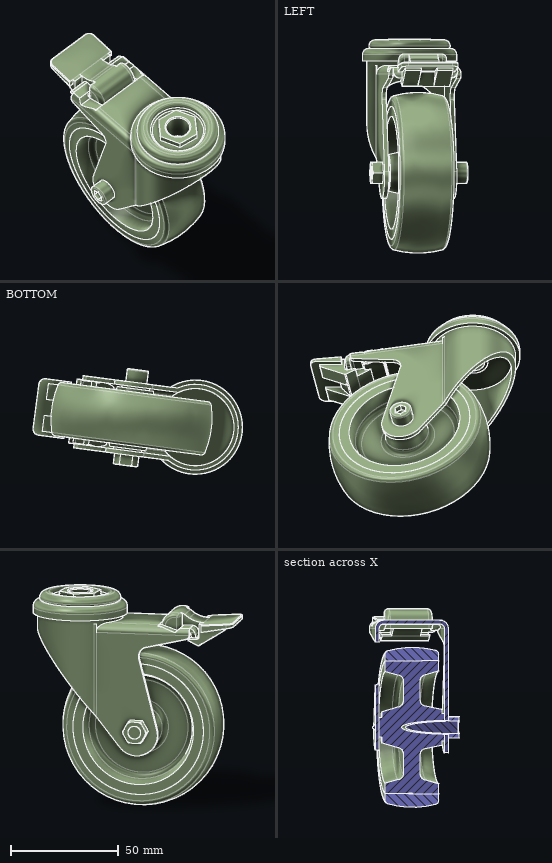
import cadquery as cq
import math

SWIVEL_ANGLE = 7.5
AXLE_OFFSET = 30.0

DIAGONAL = math.sqrt(0.5)

SHEET = 2.0
FORK_HALF_WIDTH = 17.0
FORK_INNER_HALF = FORK_HALF_WIDTH - SHEET
FORK_TOP = 50.0
FORK_EDGE_RADIUS = 4.0
NECK_RADIUS = 20.0
NECK_TOP = 52.0
NECK_FILLET = 2.0
REAR_EDGE_HEIGHT = 45.2
LEG_END_RADIUS = 10.0
LEG_END_DROP = 1.9
LEG_CORNER_HEIGHT = 38.6
LEG_CORNER_RADIUS = 4.5
FORK_TIP_X = -55.0
FORK_TIP_BOTTOM = 44.4
FORK_TIP_RADIUS = 2.0
AXLE_HOLE_DIAMETER = 6.4

DIP_START_X = -40.0
DIP_X = -48.3
DIP_HEIGHT = 47.2
LIP_START_X = -50.6
LIP_TOP = 49.1
LIP_FRONT_X = -57.6
LIP_RADIUS = 3.1
LIP_BOTTOM = 44.2
LIP_HALF_WIDTH = 15.1
LIP_CORNER_RADIUS = 3.0
ARM_SLOT_HALF = 6.75

SKIRT_RADIUS = 22.0
SKIRT_TOP = 58.0
SKIRT_FILLET = 3.0
BEAD_RADIUS = 19.0
BEAD_TOP = 62.0
BEAD_FOOT_FILLET = 1.0
BEAD_TOP_FILLET = BEAD_TOP - SKIRT_TOP - BEAD_FOOT_FILLET
WELL_RADIUS = 12.75
WELL_FLOOR_RADIUS = 11.95
WELL_RIM_FILLET = 1.75
WELL_FLOOR = 59.4
BUSH_TOP = 62.4
BUSH_FLATS = 17.0
BUSH_SHANK_DIAMETER = 14.0
BUSH_BORE_DIAMETER = 11.0
BUSH_BORE_CHAMFER = 0.5

WHEEL_RADIUS = 37.5
WHEEL_HALF_WIDTH = 12.5
TREAD_EDGE_RADIUS = 36.0
TREAD_EDGE_HALF = 11.2
TYRE_FACE_RADIUS = 34.0
TYRE_SHOULDER_RADIUS = 35.3
TYRE_SHOULDER_HALF = 12.15
RIM_RADIUS = 31.0
RECESS_MOUTH_RADIUS = 26.3
RECESS_WALL_RADIUS = 24.5
RECESS_FILLET = 2.5
WEB_HALF = 4.0
HUB_FOOT_RADIUS = 12.7
HUB_FILLET = 2.5
HUB_END_RADIUS = 8.5
HUB_HALF = 14.0
HUB_FACE_RADIUS = 6.5

BOLT_DIAMETER = 6.0
BOLT_HEAD_DIAMETER = 10.0
BOLT_HEAD_HEIGHT = 6.0
BOLT_HEAD_FILLET = 0.6
SOCKET_FLATS = 5.0
SOCKET_DEPTH = 3.0
NUT_FLATS = 10.0
NUT_HEIGHT = 5.0
NUT_CHAMFER = 0.5

PAD_TIP_X = -74.95
PAD_BACK_X = -60.0
PAD_TIP_TOP = 51.6
PAD_BACK_TOP = 50.5
PAD_TIP_THICKNESS = 1.9
PAD_BACK_BOTTOM = 47.0
PAD_HALF_WIDTH = 13.3
PAD_CORNER_RADIUS = 3.0
PAD_EDGE_CHAMFER = 0.4
GUSSET_HALF_WIDTH = 11.2
GUSSET_GAP_HALF = 3.75
GUSSET_GAP_TOP_X = -63.0
GUSSET_TIP_X = -70.5
GUSSET_TIP_BOTTOM = 47.75
GUSSET_BOTTOM = 40.3
GUSSET_FLAT_FRONT_X = -58.6
GUSSET_FLAT_BACK_X = -58.0
GUSSET_HEEL_X = -53.5
GUSSET_HEEL_HEIGHT = 42.5
LIP_SLOT_FRONT_X = -58.6
LIP_SLOT_BOTTOM = 43.2
LIP_SLOT_RADIUS = 1.5
ARM_MIDDLE = (-56.2, 51.1)
ARM_KNEE = (-53.2, 52.4)
CAM_CENTRE = (-47.1, 48.7)
CAM_RADIUS = 6.6
CAM_FRONT_X = -49.9
CAM_BOTTOM = 46.0
CAM_HALF_WIDTH = 11.0
CAM_SIDE_FILLET = 2.0
CAM_FRONT_FILLET = 1.0


def hexagon_circumdiameter(flats):
    return flats / math.cos(math.pi / 6)


def tangent_point(centre, radius, outside, side):
    """Point where a line from an outside point touches a circle; side is +1 or -1."""
    dx = outside[0] - centre[0]
    dz = outside[1] - centre[1]
    angle = math.atan2(dz, dx) + side * math.acos(radius / math.hypot(dx, dz))
    return (centre[0] + radius * math.cos(angle), centre[1] + radius * math.sin(angle))


def symmetric_plate(outline, half_width):
    """Extrude an XZ outline to both sides of the fork's mid plane."""
    return outline.close().extrude(half_width, both=True)


def box(x_range, half_width, z_range):
    outline = cq.Workplane("XZ").moveTo(x_range[0], z_range[0]).lineTo(x_range[1], z_range[0])
    outline = outline.lineTo(x_range[1], z_range[1]).lineTo(x_range[0], z_range[1])
    return symmetric_plate(outline, half_width)


def axle_plane(y):
    """Plane across the axle at a given Y, facing +Y."""
    return cq.Plane(origin=(-AXLE_OFFSET, y, 0), xDir=(1, 0, 0), normal=(0, 1, 0))


def fork_envelope(half_width, top, edge_radius, neck_radius, neck_top):
    """Rounded channel joined to the round neck, reaching well below the legs."""
    floor = -2 * LEG_END_RADIUS
    channel = box((2 * FORK_TIP_X, 0), half_width, (floor, top))
    channel = channel.edges("|X and >Z").fillet(edge_radius)
    neck = cq.Workplane("XY").workplane(offset=floor).circle(neck_radius).extrude(neck_top - floor)
    return channel.union(neck)


def neck_fillet(side):
    """Upright fillet where a flat side of the fork meets the round neck; side is +1 or -1."""
    height = FORK_TOP + 2 * LEG_END_RADIUS
    centre_y = FORK_HALF_WIDTH + NECK_FILLET
    reach = NECK_RADIUS + NECK_FILLET
    centre_x = -math.sqrt(reach**2 - centre_y**2)
    on_neck = (centre_x * NECK_RADIUS / reach, centre_y * NECK_RADIUS / reach)
    middle_angle = (math.atan2(-centre_y, -centre_x) - math.pi / 2) / 2
    middle = (
        centre_x + NECK_FILLET * math.cos(middle_angle),
        centre_y + NECK_FILLET * math.sin(middle_angle),
    )
    return (
        cq.Workplane("XY")
        .workplane(offset=FORK_TOP - height)
        .moveTo(centre_x, side * FORK_HALF_WIDTH)
        .threePointArc((middle[0], side * middle[1]), (on_neck[0], side * on_neck[1]))
        .lineTo(on_neck[0], side * (FORK_HALF_WIDTH - NECK_FILLET))
        .lineTo(centre_x, side * (FORK_HALF_WIDTH - NECK_FILLET))
        .close()
        .extrude(height)
    )


def fork_side_profile():
    """Side outline of the fork, with the dip in the top edge."""
    leg_end = (-AXLE_OFFSET, -LEG_END_DROP)
    rear = (NECK_RADIUS, REAR_EDGE_HEIGHT)
    corner = (-AXLE_OFFSET, LEG_CORNER_HEIGHT)
    profile = (
        cq.Workplane("XZ")
        .moveTo(*rear)
        .lineTo(NECK_RADIUS, NECK_TOP)
        .lineTo(DIP_START_X, NECK_TOP)
        .lineTo(DIP_START_X, FORK_TOP)
        .lineTo(DIP_X, DIP_HEIGHT)
        .lineTo(LIP_START_X, LIP_TOP)
        .lineTo(FORK_TIP_X, LIP_TOP)
        .lineTo(FORK_TIP_X, FORK_TIP_BOTTOM)
        .lineTo(*corner)
        .lineTo(*tangent_point(leg_end, LEG_END_RADIUS, corner, 1))
        .threePointArc(
            (leg_end[0], leg_end[1] - LEG_END_RADIUS),
            tangent_point(leg_end, LEG_END_RADIUS, rear, -1),
        )
    )
    plate = symmetric_plate(profile, SKIRT_RADIUS)
    plate = plate.edges(cq.NearestToPointSelector((corner[0], 0, corner[1]))).fillet(LEG_CORNER_RADIUS)
    tip = cq.NearestToPointSelector((FORK_TIP_X, 0, FORK_TIP_BOTTOM))
    return plate.edges(tip).fillet(FORK_TIP_RADIUS)


def fork_front_lips():
    """Sheet that follows the dip, then curls down in front."""
    bend_x = LIP_FRONT_X + LIP_RADIUS
    bend_z = LIP_TOP - LIP_RADIUS
    inner_bend = LIP_RADIUS - SHEET
    sheet = (
        cq.Workplane("XZ")
        .moveTo(DIP_START_X, FORK_TOP)
        .lineTo(DIP_X, DIP_HEIGHT)
        .lineTo(LIP_START_X, LIP_TOP)
        .lineTo(bend_x, LIP_TOP)
        .threePointArc(
            (bend_x - LIP_RADIUS * DIAGONAL, bend_z + LIP_RADIUS * DIAGONAL),
            (LIP_FRONT_X, bend_z),
        )
        .lineTo(LIP_FRONT_X, LIP_BOTTOM)
        .lineTo(LIP_FRONT_X + SHEET, LIP_BOTTOM)
        .lineTo(LIP_FRONT_X + SHEET, bend_z)
        .threePointArc(
            (bend_x - inner_bend * DIAGONAL, bend_z + inner_bend * DIAGONAL),
            (bend_x, bend_z + inner_bend),
        )
        .lineTo(LIP_START_X, LIP_TOP - SHEET)
        .lineTo(DIP_X, DIP_HEIGHT - SHEET)
        .lineTo(DIP_START_X, FORK_TOP - SHEET)
    )
    lips = symmetric_plate(sheet, LIP_HALF_WIDTH)
    return lips.edges("|X and <Z").fillet(LIP_CORNER_RADIUS)


def make_fork():
    outside = fork_envelope(FORK_HALF_WIDTH, FORK_TOP, FORK_EDGE_RADIUS, NECK_RADIUS, NECK_TOP)
    inside = fork_envelope(
        FORK_INNER_HALF,
        FORK_TOP - SHEET,
        FORK_EDGE_RADIUS - SHEET,
        NECK_RADIUS - SHEET,
        FORK_TOP - SHEET,
    )
    outside = outside.union(neck_fillet(1)).union(neck_fillet(-1))
    fork = outside.intersect(fork_side_profile()).cut(inside).union(fork_front_lips())
    arm_slot = box((2 * FORK_TIP_X, CAM_FRONT_X), ARM_SLOT_HALF, (LEG_CORNER_HEIGHT, NECK_TOP))
    cam_window = box((CAM_FRONT_X, DIP_START_X), CAM_HALF_WIDTH, (LEG_CORNER_HEIGHT, NECK_TOP))
    axle_hole = (
        cq.Workplane(axle_plane(-NECK_RADIUS))
        .circle(AXLE_HOLE_DIAMETER / 2)
        .extrude(2 * NECK_RADIUS)
    )
    bush_hole = cq.Workplane("XY").circle(BUSH_SHANK_DIAMETER / 2).extrude(NECK_TOP)
    return fork.cut(arm_slot).cut(cam_window).cut(axle_hole).cut(bush_hole)


def make_swivel_head():
    """Turned head: skirt below, rounded bead above, well in the middle."""
    skirt_x = SKIRT_RADIUS - SKIRT_FILLET
    skirt_z = SKIRT_TOP - SKIRT_FILLET
    foot_z = SKIRT_TOP + BEAD_FOOT_FILLET
    bead_x = BEAD_RADIUS - BEAD_TOP_FILLET
    rim_x = WELL_RADIUS + WELL_RIM_FILLET
    rim_z = BEAD_TOP - WELL_RIM_FILLET
    section = (
        cq.Workplane("XZ")
        .moveTo(BUSH_SHANK_DIAMETER / 2, NECK_TOP)
        .lineTo(SKIRT_RADIUS, NECK_TOP)
        .lineTo(SKIRT_RADIUS, skirt_z)
        .threePointArc(
            (skirt_x + SKIRT_FILLET * DIAGONAL, skirt_z + SKIRT_FILLET * DIAGONAL),
            (skirt_x, SKIRT_TOP),
        )
        .lineTo(BEAD_RADIUS - BEAD_FOOT_FILLET, SKIRT_TOP)
        .threePointArc(
            (BEAD_RADIUS - BEAD_FOOT_FILLET * (1 - DIAGONAL), foot_z - BEAD_FOOT_FILLET * DIAGONAL),
            (BEAD_RADIUS, foot_z),
        )
        .threePointArc(
            (bead_x + BEAD_TOP_FILLET * DIAGONAL, foot_z + BEAD_TOP_FILLET * DIAGONAL),
            (bead_x, BEAD_TOP),
        )
        .lineTo(rim_x, BEAD_TOP)
        .threePointArc(
            (rim_x - WELL_RIM_FILLET * DIAGONAL, rim_z + WELL_RIM_FILLET * DIAGONAL),
            (WELL_RADIUS, rim_z),
        )
        .lineTo(WELL_FLOOR_RADIUS, WELL_FLOOR)
        .lineTo(BUSH_SHANK_DIAMETER / 2, WELL_FLOOR)
        .close()
    )
    return section.revolve(360, (0, 0, 0), (0, 1, 0))


def make_bush():
    """Hexagon head on a round shank, bored through."""
    shank_bottom = FORK_TOP - SHEET
    head = (
        cq.Workplane("XY")
        .workplane(offset=WELL_FLOOR)
        .polygon(6, hexagon_circumdiameter(BUSH_FLATS))
        .extrude(BUSH_TOP - WELL_FLOOR)
        .rotate((0, 0, 0), (0, 0, 1), 30)
    )
    shank = (
        cq.Workplane("XY")
        .workplane(offset=shank_bottom)
        .circle(BUSH_SHANK_DIAMETER / 2)
        .extrude(WELL_FLOOR - shank_bottom)
    )
    bore = (
        cq.Workplane("XY")
        .workplane(offset=shank_bottom)
        .circle(BUSH_BORE_DIAMETER / 2)
        .extrude(BUSH_TOP - shank_bottom)
    )
    bush = head.union(shank).cut(bore)
    return bush.edges("%CIRCLE").edges(">Z").chamfer(BUSH_BORE_CHAMFER)


def wheel_section():
    """Half section plane: first coordinate is the radius, second runs along the axle."""
    return cq.Workplane(cq.Plane(origin=(-AXLE_OFFSET, 0, 0), xDir=(0, 0, 1), normal=(-1, 0, 0)))


def about_axle(section):
    return section.close().revolve(360, (0, 0, 0), (0, 1, 0))


def make_tyre():
    section = (
        wheel_section()
        .moveTo(RIM_RADIUS, -WHEEL_HALF_WIDTH)
        .lineTo(TYRE_FACE_RADIUS, -WHEEL_HALF_WIDTH)
        .threePointArc((TYRE_SHOULDER_RADIUS, -TYRE_SHOULDER_HALF), (TREAD_EDGE_RADIUS, -TREAD_EDGE_HALF))
        .threePointArc((WHEEL_RADIUS, 0), (TREAD_EDGE_RADIUS, TREAD_EDGE_HALF))
        .threePointArc((TYRE_SHOULDER_RADIUS, TYRE_SHOULDER_HALF), (TYRE_FACE_RADIUS, WHEEL_HALF_WIDTH))
        .lineTo(RIM_RADIUS, WHEEL_HALF_WIDTH)
    )
    return about_axle(section)


def rim_recess():
    """Ring-shaped recess on the +Y face of the rim, around the hub."""
    floor_edge = RECESS_WALL_RADIUS - RECESS_FILLET
    wall_end = WEB_HALF + RECESS_FILLET
    hub_foot_end = WEB_HALF + HUB_FILLET
    section = (
        wheel_section()
        .moveTo(RECESS_MOUTH_RADIUS, WHEEL_HALF_WIDTH)
        .lineTo(RECESS_WALL_RADIUS, wall_end)
        .threePointArc(
            (floor_edge + RECESS_FILLET * DIAGONAL, wall_end - RECESS_FILLET * DIAGONAL),
            (floor_edge, WEB_HALF),
        )
        .lineTo(HUB_FOOT_RADIUS, WEB_HALF)
        .threePointArc(
            (HUB_FOOT_RADIUS - HUB_FILLET * DIAGONAL, hub_foot_end - HUB_FILLET * DIAGONAL),
            (HUB_FOOT_RADIUS - HUB_FILLET, hub_foot_end),
        )
        .lineTo(HUB_END_RADIUS, HUB_HALF)
        .lineTo(HUB_FACE_RADIUS, HUB_HALF)
        .lineTo(HUB_FACE_RADIUS, FORK_INNER_HALF)
        .lineTo(RECESS_MOUTH_RADIUS, FORK_INNER_HALF)
    )
    return about_axle(section)


def make_rim():
    blank = cq.Workplane(axle_plane(-WHEEL_HALF_WIDTH)).circle(RIM_RADIUS).extrude(2 * WHEEL_HALF_WIDTH)
    hub = cq.Workplane(axle_plane(-FORK_INNER_HALF)).circle(HUB_FOOT_RADIUS).extrude(2 * FORK_INNER_HALF)
    recess = rim_recess()
    bore = (
        cq.Workplane(axle_plane(-FORK_INNER_HALF))
        .circle(AXLE_HOLE_DIAMETER / 2)
        .extrude(2 * FORK_INNER_HALF)
    )
    return blank.union(hub).cut(recess).cut(recess.mirror("XZ")).cut(bore)


def make_bolt():
    """Socket head bolt, its head on the -Y side of the fork."""
    head_face = -FORK_HALF_WIDTH - BOLT_HEAD_HEIGHT
    head = cq.Workplane(axle_plane(head_face)).circle(BOLT_HEAD_DIAMETER / 2).extrude(BOLT_HEAD_HEIGHT)
    head = head.faces("<Y").edges().fillet(BOLT_HEAD_FILLET)
    shank = (
        cq.Workplane(axle_plane(-FORK_HALF_WIDTH))
        .circle(BOLT_DIAMETER / 2)
        .extrude(2 * FORK_HALF_WIDTH + NUT_HEIGHT - NUT_CHAMFER)
    )
    socket = (
        cq.Workplane(axle_plane(head_face))
        .transformed(rotate=(0, 0, 30))
        .polygon(6, hexagon_circumdiameter(SOCKET_FLATS))
        .extrude(SOCKET_DEPTH)
    )
    socket_radius = SOCKET_FLATS / 2
    socket_tip = cq.Solid.makeCone(
        socket_radius,
        0,
        socket_radius * math.tan(math.pi / 6),
        pnt=cq.Vector(-AXLE_OFFSET, head_face + SOCKET_DEPTH, 0),
        dir=cq.Vector(0, 1, 0),
    )
    return head.union(shank).cut(socket).cut(cq.Workplane(socket_tip))


def make_nut():
    """Hexagon nut on the +Y side, its outer corners bevelled."""
    corner_diameter = hexagon_circumdiameter(NUT_FLATS)
    blank = cq.Workplane(axle_plane(FORK_HALF_WIDTH)).polygon(6, corner_diameter).extrude(NUT_HEIGHT)
    bevel = cq.Workplane(axle_plane(FORK_HALF_WIDTH)).circle(corner_diameter / 2).extrude(NUT_HEIGHT)
    bevel = bevel.faces(">Y").edges().chamfer(NUT_CHAMFER)
    bore = cq.Workplane(axle_plane(FORK_HALF_WIDTH)).circle(BOLT_DIAMETER / 2).extrude(NUT_HEIGHT)
    return blank.intersect(bevel).cut(bore)


def pedal_pad():
    outline = (
        cq.Workplane("XZ")
        .moveTo(PAD_TIP_X, PAD_TIP_TOP)
        .lineTo(PAD_BACK_X, PAD_BACK_TOP)
        .lineTo(PAD_BACK_X, PAD_BACK_BOTTOM)
        .lineTo(PAD_TIP_X, PAD_TIP_TOP - PAD_TIP_THICKNESS)
    )
    pad = symmetric_plate(outline, PAD_HALF_WIDTH)
    pad = pad.edges("|Z and <X").fillet(PAD_CORNER_RADIUS)
    top_rim = pad.faces(">Z").edges("not >X")
    return top_rim.chamfer(PAD_EDGE_CHAMFER)


def pedal_gussets():
    """Wedge under the pad, split in two at the front and slotted for the fork lips."""
    outline = (
        cq.Workplane("XZ")
        .moveTo(GUSSET_TIP_X, PAD_TIP_TOP - PAD_TIP_THICKNESS)
        .lineTo(GUSSET_TIP_X, GUSSET_TIP_BOTTOM)
        .lineTo(GUSSET_FLAT_FRONT_X, GUSSET_BOTTOM)
        .lineTo(GUSSET_FLAT_BACK_X, GUSSET_BOTTOM)
        .lineTo(GUSSET_HEEL_X, GUSSET_HEEL_HEIGHT)
        .lineTo(GUSSET_HEEL_X, LIP_SLOT_BOTTOM)
        .lineTo(LIP_SLOT_FRONT_X, LIP_SLOT_BOTTOM)
        .lineTo(LIP_SLOT_FRONT_X, PAD_BACK_TOP)
        .lineTo(PAD_BACK_X, PAD_BACK_TOP)
        .lineTo(PAD_BACK_X, PAD_BACK_BOTTOM)
    )
    gap_outline = (
        cq.Workplane("XZ")
        .moveTo(PAD_TIP_X, PAD_TIP_TOP)
        .lineTo(PAD_TIP_X, GUSSET_BOTTOM)
        .lineTo(GUSSET_FLAT_FRONT_X, GUSSET_BOTTOM)
        .lineTo(GUSSET_GAP_TOP_X, PAD_BACK_BOTTOM)
        .lineTo(GUSSET_GAP_TOP_X, PAD_TIP_TOP)
    )
    gap = symmetric_plate(gap_outline, GUSSET_GAP_HALF)
    slot_corner = cq.NearestToPointSelector((LIP_SLOT_FRONT_X, 0, LIP_SLOT_BOTTOM))
    gussets = symmetric_plate(outline, GUSSET_HALF_WIDTH).edges(slot_corner).fillet(LIP_SLOT_RADIUS)
    return gussets.cut(gap)


def cam_point(angle):
    """Point on the round back of the cam, at an angle from +X towards +Z."""
    return (CAM_CENTRE[0] + CAM_RADIUS * math.cos(angle), CAM_CENTRE[1] + CAM_RADIUS * math.sin(angle))


def pedal_arm():
    """Curved arm between the lips, joining the pad to the cam."""
    cam_start = tangent_point(CAM_CENTRE, CAM_RADIUS, ARM_KNEE, -1)
    start_angle = math.atan2(cam_start[1] - CAM_CENTRE[1], cam_start[0] - CAM_CENTRE[0])
    middle_angle = (start_angle + math.pi / 2) / 2
    outline = (
        cq.Workplane("XZ")
        .moveTo(PAD_BACK_X, PAD_BACK_TOP)
        .threePointArc(ARM_MIDDLE, ARM_KNEE)
        .lineTo(*cam_start)
        .threePointArc(cam_point(middle_angle), cam_point(math.pi / 2))
        .lineTo(CAM_CENTRE[0], CAM_BOTTOM)
        .lineTo(GUSSET_HEEL_X, GUSSET_HEEL_HEIGHT)
        .lineTo(PAD_BACK_X, GUSSET_HEEL_HEIGHT)
    )
    return symmetric_plate(outline, ARM_SLOT_HALF)


def pedal_cam():
    rise = math.sqrt(CAM_RADIUS**2 - (CAM_FRONT_X - CAM_CENTRE[0]) ** 2)
    outline = (
        cq.Workplane("XZ")
        .moveTo(CAM_FRONT_X, CAM_BOTTOM)
        .lineTo(CAM_FRONT_X, CAM_CENTRE[1] + rise)
        .threePointArc(cam_point(math.pi / 4), cam_point(0))
        .lineTo(CAM_CENTRE[0] + CAM_RADIUS, CAM_BOTTOM)
    )
    cam = symmetric_plate(outline, CAM_HALF_WIDTH)
    front_top = cam.edges("|Y and <X").edges(">Z")
    cam = front_top.fillet(CAM_FRONT_FILLET)
    arc_edges = cam.faces("<Y or >Y").edges("not <Z")
    return arc_edges.fillet(CAM_SIDE_FILLET)


def make_pedal():
    return pedal_pad().union(pedal_gussets()).union(pedal_arm()).union(pedal_cam())


head_bodies = [make_swivel_head(), make_bush()]
swivelling_bodies = [make_fork(), make_tyre(), make_rim(), make_bolt(), make_nut(), make_pedal()]
turned_bodies = [body.rotate((0, 0, 0), (0, 0, 1), SWIVEL_ANGLE) for body in swivelling_bodies]
result = cq.Compound.makeCompound([body.solids().val() for body in head_bodies + turned_bodies])